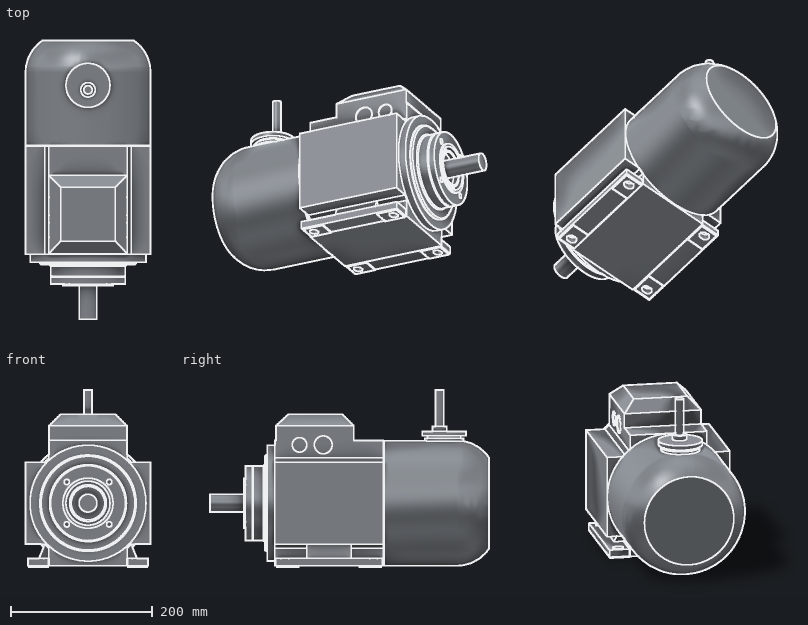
import cadquery as cq
import math


HOUSING_LENGTH = 153.0
WIDTH = 177.0
HALF_WIDTH = WIDTH / 2
SIDE_HALF_HEIGHT = 58.0
CORE_HALF_WIDTH = 55.0
CORE_HALF_HEIGHT = 88.5
CORNER_CHAMFER = 6.0

COVER_GAP = 1.0
COVER_GAP_RADIUS = 82.7
COVER_RADIUS = HALF_WIDTH
COVER_START = HOUSING_LENGTH + COVER_GAP
COVER_END = 302.2
DOME_START = 257.5
DOME_ARC_RADIUS = 53.0

FLANGE_RADIUS = 82.0
FLANGE_FRONT = 11.0
STEP_RADIUS = 68.0
STEP_TAPER_RADIUS = 66.0
STEP_TAPER_START = 12.2
STEP_FRONT = 14.5
HUB_ROOT_RADIUS = 54.5
HUB_ROOT_END = 16.5
HUB_RADIUS = 52.8
HUB_GROOVE_START = 30.7
HUB_GROOVE_WIDTH = 1.0
HUB_GROOVE_DEPTH = 1.5
HUB_FRONT = 41.8
RIM_RADIUS = 35.5
RIM_FRONT = 44.0
BORE_RADIUS = 31.0
BORE_DEPTH = 10.0
SEAL_OUTER_RADIUS = 26.0
SEAL_INNER_RADIUS = 23.5
SEAL_FRONT = 41.8
SHAFT_RADIUS = 12.5
SHAFT_FRONT = 91.8
BOLT_OFFSET = 30.0
BOLT_RADIUS = 3.75
BOLT_DEPTH = 8.0

BOX_FRONT = 1.0
BOX_BACK = 111.5
BOX_SHOULDER = 109.0
BOX_TOP = 125.5
BOX_TOP_HALF_WIDTH = 38.5
BOX_TOP_FRONT = 19.0
BOX_TOP_BACK = 95.0
KNOCKOUT_Z = 82.5
KNOCKOUT_DEPTH = 1.0
KNOCKOUTS = [(68.0, 12.5), (34.5, 10.2)]

FOOT_INNER = 56.0
FOOT_OUTER = 84.7
FOOT_TOP = -78.0
FOOT_INSET = 1.0
PAD_HEIGHT = 1.5
PAD_SIDE_INSET = 1.0
PAD_END_INSET = 2.8
PAD_LENGTH = 31.0
SLOT_DIAMETER = 11.0
SLOT_LENGTH = 15.0
SLOT_X = 69.7
SLOT_END_DISTANCE = 13.8
WEB_LENGTH = 63.0
WEB_FOOT_X = 69.5

RELEASE_Y = 238.8
LEVER_Y = 232.5
RELEASE_ROOT = 87.5
RELEASE_STACK = [(27.5, 91.5), (23.5, 95.0), (31.0, 101.3)]
LEVER_STACK = [(10.2, 108.5), (6.0, 160.0)]


def box_between(x0, x1, y0, y1, z0, z1):
    return cq.Workplane("XY").box(x1 - x0, y1 - y0, z1 - z0, centered=False).translate((x0, y0, z0))


def extrude_along_y(points, start, length):
    """Extrude an X-Z outline from Y = start towards +Y."""
    return cq.Workplane("XZ", origin=(0, start, 0)).polyline(points).close().extrude(-length)


def disc_along_y(radius, start, length):
    return cq.Workplane("XZ", origin=(0, start, 0)).circle(radius).extrude(-length)


def on_both_sides(body):
    return body.union(body.mirror("YZ"))


def make_housing():
    quarter = [
        (HALF_WIDTH, SIDE_HALF_HEIGHT),
        (CORE_HALF_WIDTH + CORNER_CHAMFER, SIDE_HALF_HEIGHT),
        (CORE_HALF_WIDTH, SIDE_HALF_HEIGHT + CORNER_CHAMFER),
        (CORE_HALF_WIDTH, CORE_HALF_HEIGHT),
    ]
    upper = quarter + [(-x, z) for x, z in reversed(quarter)]
    outline = upper + [(-x, -z) for x, z in upper]
    return extrude_along_y(outline, 0, HOUSING_LENGTH)


def make_fan_cover():
    neck = disc_along_y(COVER_GAP_RADIUS, HOUSING_LENGTH, COVER_GAP)
    dome_length = COVER_END - DOME_START
    arc_centre = COVER_RADIUS - DOME_ARC_RADIUS
    end_radius = arc_centre + math.sqrt(DOME_ARC_RADIUS**2 - dome_length**2)
    cover = (
        cq.Workplane("XY")
        .moveTo(0, COVER_START)
        .lineTo(COVER_RADIUS, COVER_START)
        .lineTo(COVER_RADIUS, DOME_START)
        .tangentArcPoint((end_radius, COVER_END), relative=False)
        .lineTo(0, COVER_END)
        .close()
        .revolve(360, (0, 0, 0), (0, 1, 0))
    )
    return neck.union(cover)


def make_drive_end():
    """Flange, hub with a bore holding a seal ring, and the shaft."""
    groove_end = HUB_GROOVE_START + HUB_GROOVE_WIDTH
    groove_radius = HUB_RADIUS - HUB_GROOVE_DEPTH
    bore_floor = RIM_FRONT - BORE_DEPTH
    profile = [
        (0, 0),
        (FLANGE_RADIUS, 0),
        (FLANGE_RADIUS, FLANGE_FRONT),
        (STEP_RADIUS, FLANGE_FRONT),
        (STEP_RADIUS, STEP_TAPER_START),
        (STEP_TAPER_RADIUS, STEP_FRONT),
        (HUB_ROOT_RADIUS, STEP_FRONT),
        (HUB_RADIUS, HUB_ROOT_END),
        (HUB_RADIUS, HUB_GROOVE_START),
        (groove_radius, HUB_GROOVE_START),
        (groove_radius, groove_end),
        (HUB_RADIUS, groove_end),
        (HUB_RADIUS, HUB_FRONT),
        (RIM_RADIUS, HUB_FRONT),
        (RIM_RADIUS, RIM_FRONT),
        (BORE_RADIUS, RIM_FRONT),
        (BORE_RADIUS, bore_floor),
        (SEAL_OUTER_RADIUS, bore_floor),
        (SEAL_OUTER_RADIUS, SEAL_FRONT),
        (SEAL_INNER_RADIUS, SEAL_FRONT),
        (SEAL_INNER_RADIUS, bore_floor),
        (SHAFT_RADIUS, bore_floor),
        (SHAFT_RADIUS, SHAFT_FRONT),
        (0, SHAFT_FRONT),
    ]
    body = (
        cq.Workplane("XY")
        .polyline([(radius, -distance) for radius, distance in profile])
        .close()
        .revolve(360, (0, 0, 0), (0, 1, 0))
    )
    bolt_holes = (
        cq.Workplane("XZ", origin=(0, -HUB_FRONT, 0))
        .rect(2 * BOLT_OFFSET, 2 * BOLT_OFFSET, forConstruction=True)
        .vertices()
        .circle(BOLT_RADIUS)
        .extrude(-BOLT_DEPTH)
    )
    return body.cut(bolt_holes)


def make_terminal_box():
    base = box_between(
        -CORE_HALF_WIDTH, CORE_HALF_WIDTH, BOX_FRONT, BOX_BACK, CORE_HALF_HEIGHT, BOX_SHOULDER
    )
    base_depth = BOX_BACK - BOX_FRONT
    top_depth = BOX_TOP_BACK - BOX_TOP_FRONT
    base_centre = (BOX_FRONT + BOX_BACK) / 2
    top_centre = (BOX_TOP_FRONT + BOX_TOP_BACK) / 2
    lid = (
        cq.Workplane("XY", origin=(0, base_centre, BOX_SHOULDER))
        .rect(2 * CORE_HALF_WIDTH, base_depth)
        .workplane(offset=BOX_TOP - BOX_SHOULDER)
        .center(0, top_centre - base_centre)
        .rect(2 * BOX_TOP_HALF_WIDTH, top_depth)
        .loft(ruled=True)
    )
    return base.union(lid)


def make_knockouts():
    """Shallow round cable-entry recesses, the same on both sides."""
    recesses = cq.Workplane("YZ", origin=(CORE_HALF_WIDTH - KNOCKOUT_DEPTH, 0, 0))
    for y, radius in KNOCKOUTS:
        recesses = recesses.moveTo(y, KNOCKOUT_Z).circle(radius)
    return on_both_sides(recesses.extrude(KNOCKOUT_DEPTH))


def make_feet():
    foot_back = HOUSING_LENGTH - FOOT_INSET
    foot = box_between(FOOT_INNER, FOOT_OUTER, FOOT_INSET, foot_back, -CORE_HALF_HEIGHT, FOOT_TOP)

    pad_bottom = -CORE_HALF_HEIGHT - PAD_HEIGHT
    for pad_start in (PAD_END_INSET, HOUSING_LENGTH - PAD_END_INSET - PAD_LENGTH):
        pad = box_between(
            FOOT_INNER, FOOT_OUTER - PAD_SIDE_INSET,
            pad_start, pad_start + PAD_LENGTH,
            pad_bottom, -CORE_HALF_HEIGHT,
        )
        foot = foot.union(pad)

    slots = (
        cq.Workplane("XY", origin=(0, 0, pad_bottom))
        .pushPoints([(SLOT_X, SLOT_END_DISTANCE), (SLOT_X, HOUSING_LENGTH - SLOT_END_DISTANCE)])
        .slot2D(SLOT_LENGTH, SLOT_DIAMETER)
        .extrude(FOOT_TOP - pad_bottom)
    )
    foot = foot.cut(slots)

    web_outline = [
        (CORE_HALF_WIDTH, -SIDE_HALF_HEIGHT),
        (CORE_HALF_WIDTH + CORNER_CHAMFER, -SIDE_HALF_HEIGHT),
        (WEB_FOOT_X, FOOT_TOP),
        (CORE_HALF_WIDTH, FOOT_TOP),
    ]
    web = extrude_along_y(web_outline, (HOUSING_LENGTH - WEB_LENGTH) / 2, WEB_LENGTH)
    return on_both_sides(foot.union(web))


def make_stack(y, bottom, discs):
    """Upright coaxial discs piled on one another, given as (radius, top Z)."""
    stack = cq.Workplane("XY")
    for radius, top in discs:
        disc = cq.Workplane("XY", origin=(0, y, bottom)).circle(radius).extrude(top - bottom)
        stack = stack.union(disc)
        bottom = top
    return stack


def make_hand_release():
    cap_top = RELEASE_STACK[-1][1]
    cap = make_stack(RELEASE_Y, RELEASE_ROOT, RELEASE_STACK)
    lever = make_stack(LEVER_Y, cap_top, LEVER_STACK)
    return cap.union(lever)


result = (
    make_housing()
    .union(make_fan_cover())
    .union(make_drive_end())
    .union(make_terminal_box())
    .union(make_feet())
    .union(make_hand_release())
    .cut(make_knockouts())
)